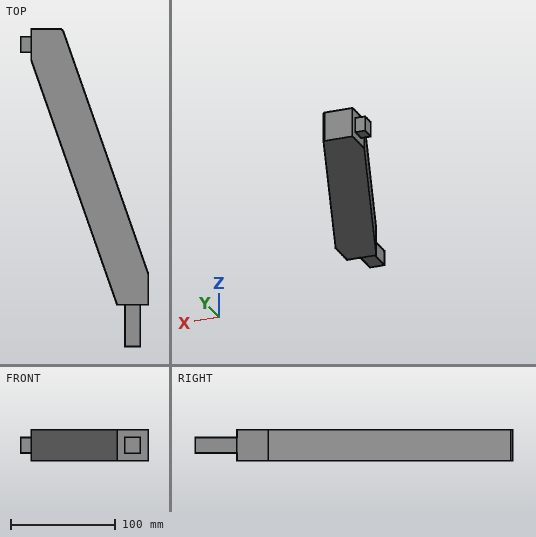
import cadquery as cq

section = 30.0
arm_span_x = 112.5
arm_span_y = 265.0
flat_end = 28.8
bevel_leg = 2.1
tenon_size = 15.0
side_tenon_length = 10.0
end_tenon_length = 40.0
overlap = 1.0

arm_left = 0.0
arm_right = arm_left + arm_span_x
arm_top = section / 2
arm_bottom = arm_top - arm_span_y


def make_arm():
    """Slanted bar with square shoulders facing -X and -Y and one bevelled corner."""
    outline = [
        (arm_left, arm_top),
        (arm_left + flat_end, arm_top),
        (arm_left + flat_end + bevel_leg, arm_top - bevel_leg),
        (arm_right, arm_bottom + section),
        (arm_right, arm_bottom),
        (arm_right - section, arm_bottom),
        (arm_left, arm_top - section),
    ]
    return cq.Workplane("XY").polyline(outline).close().extrude(section / 2, both=True)


def make_side_tenon():
    """Tenon projecting in -X, centred on the shoulder at the upper end."""
    length = side_tenon_length + overlap
    centre_x = arm_left + overlap - length / 2
    centre_y = arm_top - section / 2
    return cq.Workplane("XY").box(length, tenon_size, tenon_size).translate((centre_x, centre_y, 0))


def make_end_tenon():
    """Tenon projecting in -Y, centred on the shoulder at the lower end."""
    length = end_tenon_length + overlap
    centre_x = arm_right - section / 2
    centre_y = arm_bottom + overlap - length / 2
    return cq.Workplane("XY").box(tenon_size, length, tenon_size).translate((centre_x, centre_y, 0))


result = make_arm().union(make_side_tenon()).union(make_end_tenon())